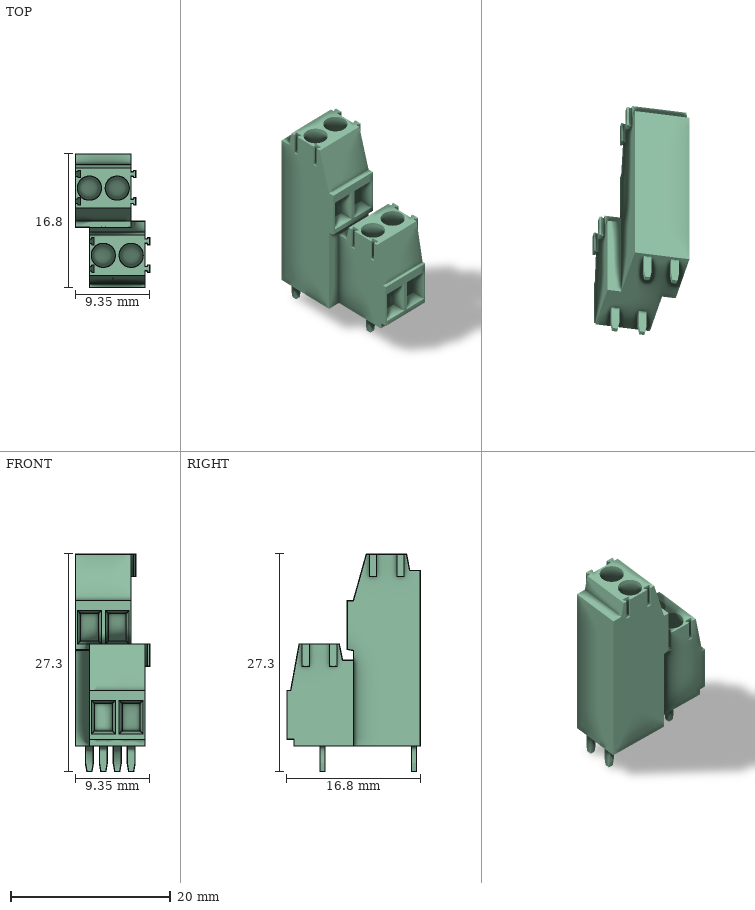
import cadquery as cq


POLE_PITCH = 3.5
POLES_PER_LEVEL = 2
LEVEL_WIDTH = POLES_PER_LEVEL * POLE_PITCH
LEVEL_SHIFT_X = POLE_PITCH / 2
LEVEL_SHIFT_Y = 8.44
LEVEL_DROP = 11.27
PIN_LENGTH = 3.2
OVERALL_HEIGHT = 27.3
OVERALL_DEPTH = 16.75
BACK_TOP = OVERALL_HEIGHT - PIN_LENGTH
FRONT_TOP = BACK_TOP - LEVEL_DROP

SHELF_DEPTH = 1.35
SHELF_DROP = 2.05
TOP_BACK = 1.75
TOP_FRONT = 6.8
LIP_TOP_DROP = 5.85
LIP_HEIGHT = 6.15
LIP_BOTTOM_DROP = LIP_TOP_DROP + LIP_HEIGHT
BACK_LIP_PROJECTION = 0.76
BACK_LIP_UNDERCUT = 0.15
FRONT_LIP_PROJECTION = 0.87
FRONT_LEDGE = 0.46

SCREW_DIAMETER = 3.03
SCREW_DEPTH = 3
SCREW_SETBACK = 4.29

FUNNEL_WIDTH = 3
FUNNEL_HEIGHT = 4.2
FUNNEL_TOP_DROP = 7.1
FUNNEL_INSET = 0.38
FUNNEL_DEPTH = 1.5

TAB_SETBACKS = (2.5, 5.95)
TAB_HEIGHT = 2.85
TAB_REACH = 0.6
TAB_NECK_WIDTH = 0.57
TAB_HEAD_WIDTH = 0.93
TAB_NECK_LENGTH = 0.25
TAB_FLARE_END = 0.33

PIN_WIDTH = 1.0
PIN_THICKNESS = 0.65
PIN_TIP_WIDTH = 0.65
PIN_SHANK_LENGTH = 2.15
BACK_PIN_Y = -0.82
FRONT_PIN_Y = -12.28

BACK_LEVEL = (0, 0, BACK_TOP)
FRONT_LEVEL = (LEVEL_SHIFT_X, -LEVEL_SHIFT_Y, FRONT_TOP)
BACK_LIP_Y = -(LEVEL_SHIFT_Y + BACK_LIP_PROJECTION)
FRONT_LIP_Y = -OVERALL_DEPTH


def pole_centres(left):
    """X positions of the poles of a level whose left side is at `left`."""
    return [left + (i + 0.5) * POLE_PITCH for i in range(POLES_PER_LEVEL)]


def level_block(level, front_outline):
    """Extrude the side outline of one level; the front part of it is given as (y, z) points."""
    left, back, top = level
    outline = [
        (back, 0),
        (back, top - SHELF_DROP),
        (back - SHELF_DEPTH, top - SHELF_DROP),
        (back - TOP_BACK, top),
        (back - TOP_FRONT, top),
    ] + front_outline
    return cq.Workplane("YZ").workplane(offset=left).polyline(outline).close().extrude(LEVEL_WIDTH)


def back_block():
    lip_top = BACK_TOP - LIP_TOP_DROP
    lip_bottom = BACK_TOP - LIP_BOTTOM_DROP
    return level_block(BACK_LEVEL, [
        (-LEVEL_SHIFT_Y, lip_top),
        (BACK_LIP_Y, lip_top),
        (BACK_LIP_Y, lip_bottom),
        (-LEVEL_SHIFT_Y, lip_bottom - BACK_LIP_UNDERCUT),
        (-LEVEL_SHIFT_Y, 0),
    ])


def front_block():
    lip_top = FRONT_TOP - LIP_TOP_DROP
    lip_bottom = FRONT_TOP - LIP_BOTTOM_DROP
    foot_y = FRONT_LIP_Y + FRONT_LIP_PROJECTION
    return level_block(FRONT_LEVEL, [
        (FRONT_LIP_Y + FRONT_LEDGE, lip_top),
        (FRONT_LIP_Y, lip_top),
        (FRONT_LIP_Y, lip_bottom),
        (foot_y, lip_bottom),
        (foot_y, 0),
    ])


def screw_holes(level):
    left, back, top = level
    centres = [(x, back - SCREW_SETBACK) for x in pole_centres(left)]
    return (
        cq.Workplane("XY").workplane(offset=top)
        .pushPoints(centres).circle(SCREW_DIAMETER / 2).extrude(-SCREW_DEPTH)
    )


def wire_funnel(x, lip_y, top):
    """Rectangular recess that narrows from the lip face inwards."""
    centre_z = top - FUNNEL_TOP_DROP - FUNNEL_HEIGHT / 2
    return (
        cq.Workplane("XZ", origin=(x, lip_y, centre_z))
        .rect(FUNNEL_WIDTH, FUNNEL_HEIGHT)
        .workplane(offset=-FUNNEL_DEPTH)
        .rect(FUNNEL_WIDTH - 2 * FUNNEL_INSET, FUNNEL_HEIGHT - 2 * FUNNEL_INSET)
        .loft(ruled=True)
    )


def dovetails(side_x, back, top):
    """Pair of upright dovetail bars that start at the plane X = side_x and reach to +X."""
    half_neck = TAB_NECK_WIDTH / 2
    half_head = TAB_HEAD_WIDTH / 2
    outline = [
        (0, -half_neck),
        (TAB_NECK_LENGTH, -half_neck),
        (TAB_FLARE_END, -half_head),
        (TAB_REACH, -half_head),
        (TAB_REACH, half_head),
        (TAB_FLARE_END, half_head),
        (TAB_NECK_LENGTH, half_neck),
        (0, half_neck),
    ]
    bars = cq.Workplane("XY")
    for setback in TAB_SETBACKS:
        bar = cq.Workplane("XY", origin=(side_x, back - setback, top))
        bars = bars.add(bar.polyline(outline).close().extrude(-TAB_HEIGHT))
    return bars.combine()


def make_housing():
    housing = back_block().union(front_block())
    for level, lip_y in ((BACK_LEVEL, BACK_LIP_Y), (FRONT_LEVEL, FRONT_LIP_Y)):
        left, back, top = level
        housing = housing.cut(screw_holes(level))
        for x in pole_centres(left):
            housing = housing.cut(wire_funnel(x, lip_y, top))
        housing = housing.cut(dovetails(left, back, top))
        housing = housing.union(dovetails(left + LEVEL_WIDTH, back, top))
    return housing.solids()


def make_pin(x, y):
    """Flat pin under the housing whose end tapers in width."""
    half_width = PIN_WIDTH / 2
    half_tip = PIN_TIP_WIDTH / 2
    outline = [
        (-half_width, 0),
        (-half_width, -PIN_SHANK_LENGTH),
        (-half_tip, -PIN_LENGTH),
        (half_tip, -PIN_LENGTH),
        (half_width, -PIN_SHANK_LENGTH),
        (half_width, 0),
    ]
    pin = cq.Workplane("XZ", origin=(x, y, 0)).polyline(outline).close()
    return pin.extrude(PIN_THICKNESS / 2, both=True).solids()


housing = make_housing()

pins = []
for left_edge, pin_y in ((BACK_LEVEL[0], BACK_PIN_Y), (FRONT_LEVEL[0], FRONT_PIN_Y)):
    for pin_x in pole_centres(left_edge):
        pins.append(make_pin(pin_x, pin_y).val())

result = cq.Compound.makeCompound([housing.val(), *pins])